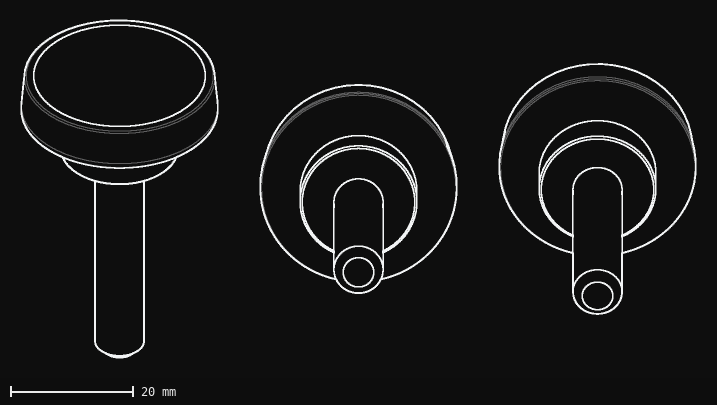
import cadquery as cq

total_height = 58.0
tip_chamfer = 1.5
hub_bottom = 39.8
hub_top = 45.95
band_bottom = 48.0
band_top = 49.0
rim_top = 55.0

shank_radius = 8.0 / 2
hub_radius = 19.0 / 2
head_radius = 32.0 / 2
rim_radius = 15.5
dome_radius = 14.0

hub_chamfer = 0.35
rim_fillet = 0.3
band_fillet = 0.3

dome_height = total_height - rim_top
sphere_radius = (dome_radius**2 + dome_height**2) / (2 * dome_height)
sphere_center = total_height - sphere_radius
mid_radius = dome_radius / 2
mid_height = sphere_center + (sphere_radius**2 - mid_radius**2) ** 0.5


def make_shank():
    """Plain cylindrical shank with a chamfered tip, ending at the hub."""
    shank = cq.Workplane("XY").circle(shank_radius).extrude(hub_bottom)
    return shank.faces("<Z").edges().chamfer(tip_chamfer)


def make_hub():
    """Collar under the head with a broken lower edge."""
    hub = cq.Workplane("XY").workplane(offset=hub_bottom).circle(hub_radius).extrude(hub_top - hub_bottom)
    return hub.faces("<Z").edges().chamfer(hub_chamfer)


def make_head():
    """Revolved head: conical underside, straight band and tapered side with rounded edges."""
    profile = (
        cq.Workplane("XZ")
        .moveTo(0, hub_top)
        .lineTo(hub_radius, hub_top)
        .lineTo(head_radius, band_bottom)
        .lineTo(head_radius, band_top)
        .lineTo(rim_radius, rim_top)
        .lineTo(0, rim_top)
        .close()
    )
    head = profile.revolve(360, (0, 0, 0), (0, 1, 0))
    head = head.faces(">Z").edges().fillet(rim_fillet)
    lower_edge = cq.selectors.NearestToPointSelector((0, 0, band_bottom))
    return head.edges(lower_edge).fillet(band_fillet)


def make_dome():
    """Spherical cap standing on the flat rim of the head."""
    profile = (
        cq.Workplane("XZ")
        .moveTo(0, rim_top)
        .lineTo(dome_radius, rim_top)
        .threePointArc((mid_radius, mid_height), (0, total_height))
        .close()
    )
    return profile.revolve(360, (0, 0, 0), (0, 1, 0))


result = make_shank().union(make_hub()).union(make_head()).union(make_dome())